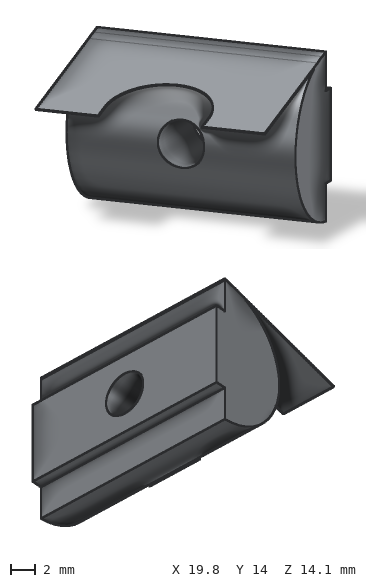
import cadquery as cq
import math

length = 19.8
radius = 7.0
flat_y = -0.5
tongue_depth = 0.99
tongue_height = 7.68
hole_diameter = 4.0

plate_tilt = 15.0
plate_offset = 6.99
plate_thickness = 0.1
tip_y = -13.55
notch_width = 8.99
notch_depth = 6.0

tilt = math.radians(plate_tilt)
back_y = flat_y + tongue_depth


def plate_point(along, offset):
    """Return (y, z) at a distance down the plate slope and an offset from the axis."""
    y = -along * math.cos(tilt) - offset * math.sin(tilt)
    z = -along * math.sin(tilt) + offset * math.cos(tilt)
    return y, z


def along_at_y(y, offset):
    """Return the distance down the slope at which a plane parallel to the plate reaches y."""
    return (-y - offset * math.sin(tilt)) / math.cos(tilt)


def extrude_profile(sketch):
    """Extrude a closed YZ outline symmetrically about X = 0."""
    return sketch.extrude(length / 2, both=True)


def make_body():
    corner_z = math.sqrt(radius**2 - flat_y**2)
    half_round = extrude_profile(
        cq.Workplane("YZ")
        .moveTo(flat_y, corner_z)
        .threePointArc((-radius, 0), (flat_y, -corner_z))
        .close()
    )
    tongue = cq.Workplane("XY").box(length, tongue_depth, tongue_height)
    return half_round.union(tongue.translate((0, back_y - tongue_depth / 2, 0)))


tip_along = along_at_y(tip_y, plate_offset)


def make_plate():
    inner_offset = plate_offset - plate_thickness
    return extrude_profile(
        cq.Workplane("YZ").polyline([
            plate_point(along_at_y(flat_y, plate_offset), plate_offset),
            plate_point(tip_along, plate_offset),
            plate_point(tip_along, inner_offset),
            plate_point(along_at_y(flat_y, inner_offset), inner_offset),
        ]).close()
    )


def make_notch():
    """Round-ended cutter, square to the plate and open at its front edge."""
    notch_radius = notch_width / 2
    straight = notch_depth - notch_radius
    tip_y_outer, tip_z_outer = plate_point(tip_along, plate_offset)
    plane = cq.Plane(
        origin=(0, tip_y_outer, tip_z_outer),
        xDir=(1, 0, 0),
        normal=(0, -math.sin(tilt), math.cos(tilt)),
    )
    return (
        cq.Workplane(plane)
        .moveTo(-notch_radius, 0)
        .lineTo(-notch_radius, straight)
        .threePointArc((0, notch_depth), (notch_radius, straight))
        .lineTo(notch_radius, 0)
        .close()
        .extrude(plate_thickness, both=True)
    )


def make_hole():
    """Cross hole along Y through the half-round and the tongue."""
    return (
        cq.Workplane("XZ", origin=(0, back_y, 0))
        .circle(hole_diameter / 2)
        .extrude(radius + back_y)
    )


plate = make_plate().cut(make_notch())
result = make_body().union(plate).cut(make_hole())